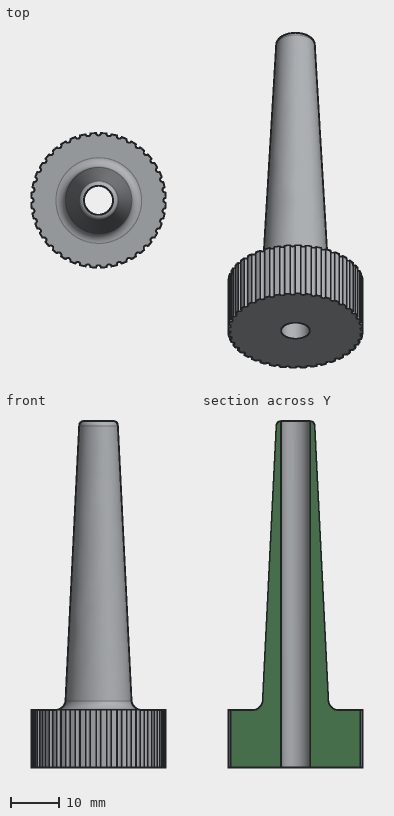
import cadquery as cq
import math

total_height = 72.0
cap_height = 12.0
cap_diameter = 28.0

nozzle_base_diameter = 14.0
nozzle_tip_diameter = 8.0
bore_diameter = 6.0
root_fillet = 2.0
tip_fillet = 1.0

groove_count = 40
groove_radius = 0.5

cap_radius = cap_diameter / 2
nozzle_length = total_height - cap_height


def make_cap():
    """Plain round cap standing on the XY plane."""
    return cq.Workplane("XY").circle(cap_radius).extrude(cap_height)


def make_nozzle():
    """Cone narrowing from the cap's top face to the tip."""
    radius_drop = (nozzle_base_diameter - nozzle_tip_diameter) / 2
    half_angle = math.degrees(math.atan2(radius_drop, nozzle_length))
    return (
        cq.Workplane("XY", origin=(0, 0, cap_height))
        .circle(nozzle_base_diameter / 2)
        .extrude(nozzle_length, taper=half_angle)
    )


def round_nozzle_ends(body):
    """Fillet the nozzle's root into the cap and round over its tip."""
    body = body.edges("%CIRCLE").edges(cq.selectors.RadiusNthSelector(1)).fillet(root_fillet)
    return body.edges(">Z").fillet(tip_fillet)


def make_grooves():
    """Half-round grip grooves centred on the cap's rim, over its full height."""
    return (
        cq.Workplane("XY")
        .polarArray(cap_radius, 0, 360, groove_count)
        .circle(groove_radius)
        .extrude(cap_height)
    )


def make_bore():
    """Straight hole through the cap and nozzle."""
    return cq.Workplane("XY").circle(bore_diameter / 2).extrude(total_height)


solid_body = round_nozzle_ends(make_cap().union(make_nozzle()))
result = solid_body.cut(make_grooves()).cut(make_bore())